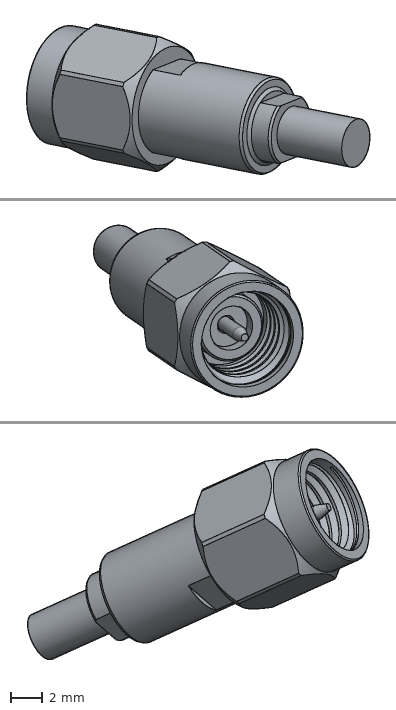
import cadquery as cq
import math

length = 23.2

nut_across_flats = 7.93
nut_across_corners = 9.0
collar_diameter = 7.77
collar_edge_chamfer = 0.1
nut_hex_start = 2.06
nut_end = 8.35
nut_corner_bevel = 0.67

mouth_diameter = 6.35
mouth_depth = 0.75
thread_minor_diameter = 5.6
thread_major_diameter = 6.61
thread_pitch = 0.75
thread_start = 0.28
thread_turns = 5
thread_flank_angle = 28.0
cavity_depth = 4.3

plug_diameter = 4.45
plug_chamfer = 0.15
plug_face = 2.85
recess_diameter = 2.92
recess_depth = 0.93
pin_clearance_diameter = 1.18
pin_clearance_depth = 0.23
pin_diameter = 0.95
pin_tip_diameter = 0.49
pin_tip = 0.46
pin_taper_length = 0.85

body_diameter = 6.35
body_end = 16.45
body_chamfer_length = 0.19
body_chamfer_height = 0.12
wrench_flat_gap = 5.57
wrench_flat_end = 10.49
shoulder_diameter = 5.15
shoulder_end = 16.63
ferrule_diameter = 4.69
ferrule_end = 18.12
ferrule_chamfer_length = 0.16
ferrule_end_diameter = 4.45
ferrule_flat_gap = 3.85
cable_diameter = 3.18


def rod(diameter, start, end):
    """Cylinder on the X axis between two stations."""
    return cq.Workplane("YZ", origin=(start, 0, 0)).circle(diameter / 2).extrude(end - start)


def turned(profile):
    """Solid of revolution about X from (station, diameter) pairs."""
    outline = [(profile[0][0], 0)]
    outline += [(station, diameter / 2) for station, diameter in profile]
    outline += [(profile[-1][0], 0)]
    return cq.Workplane("XY").polyline(outline).close().revolve(360, (0, 0, 0), (1, 0, 0))


def flatten(solid, gap, start, end):
    """Trim a stretch of the solid to two parallel flats facing +Z and -Z."""
    for side in (1, -1):
        waste = cq.Workplane("XY").box(end - start, length, length, centered=(False, True, True))
        solid = solid.cut(waste.translate((start, 0, side * (gap + length) / 2)))
    return solid


def make_nut():
    hexagon = (
        cq.Workplane("YZ", origin=(nut_hex_start, 0, 0))
        .polygon(6, nut_across_flats / math.cos(math.pi / 6))
        .extrude(nut_end - nut_hex_start)
        .rotate((0, 0, 0), (1, 0, 0), 30)
    )
    corner_envelope = turned([
        (nut_hex_start, collar_diameter),
        (nut_hex_start + nut_corner_bevel, nut_across_corners),
        (nut_end - nut_corner_bevel, nut_across_corners),
        (nut_end, collar_diameter),
    ])
    collar = turned([
        (0, collar_diameter - 2 * collar_edge_chamfer),
        (collar_edge_chamfer, collar_diameter),
        (nut_hex_start, collar_diameter),
    ])
    return hexagon.intersect(corner_envelope).union(collar)


def make_cavity():
    lead_in = (mouth_diameter - thread_minor_diameter) / 2
    return turned([
        (0, mouth_diameter),
        (mouth_depth, mouth_diameter),
        (mouth_depth + lead_in, thread_minor_diameter),
        (cavity_depth, thread_minor_diameter),
    ])


def make_thread_groove():
    """Right-hand V groove, with its base sunk slightly into the cavity for a clean cut."""
    base_overlap = 0.05
    base_radius = thread_minor_diameter / 2 - base_overlap
    root_radius = thread_major_diameter / 2
    half_width = (root_radius - base_radius) * math.tan(math.radians(thread_flank_angle))
    helix = cq.Wire.makeHelix(thread_pitch, thread_pitch * thread_turns, base_radius)
    groove = (
        cq.Workplane("XZ")
        .polyline([(base_radius, -half_width), (root_radius, 0), (base_radius, half_width)])
        .close()
        .sweep(cq.Workplane(helix), isFrenet=True)
    )
    groove = groove.rotate((0, 0, 0), (0, 1, 0), 90)
    return groove.rotate((0, 0, 0), (1, 0, 0), 180).translate((thread_start, 0, 0))


def make_plug():
    return turned([
        (plug_face, plug_diameter - 2 * plug_chamfer),
        (plug_face + plug_chamfer, plug_diameter),
        (cavity_depth, plug_diameter),
    ])


def make_pin():
    return turned([
        (pin_tip, pin_tip_diameter),
        (pin_tip + pin_taper_length, pin_diameter),
        (cavity_depth, pin_diameter),
    ])


def make_body():
    body = turned([
        (cavity_depth, body_diameter),
        (body_end - body_chamfer_length, body_diameter),
        (body_end, body_diameter - 2 * body_chamfer_height),
    ])
    return flatten(body, wrench_flat_gap, nut_end, wrench_flat_end)


def make_ferrule():
    ferrule = turned([
        (body_end, ferrule_diameter),
        (ferrule_end - ferrule_chamfer_length, ferrule_diameter),
        (ferrule_end, ferrule_end_diameter),
    ])
    ferrule = flatten(ferrule, ferrule_flat_gap, body_end, ferrule_end)
    shoulder = turned([(body_end, shoulder_diameter), (shoulder_end, ferrule_diameter)])
    return ferrule.union(shoulder)


recess_floor = plug_face + recess_depth
result = make_nut().cut(make_cavity()).cut(make_thread_groove())
result = result.union(make_plug())
result = result.cut(rod(recess_diameter, plug_face, recess_floor))
result = result.cut(rod(pin_clearance_diameter, recess_floor, recess_floor + pin_clearance_depth))
result = result.union(make_pin())
result = result.union(make_body()).union(make_ferrule())
result = result.union(rod(cable_diameter, ferrule_end, length))